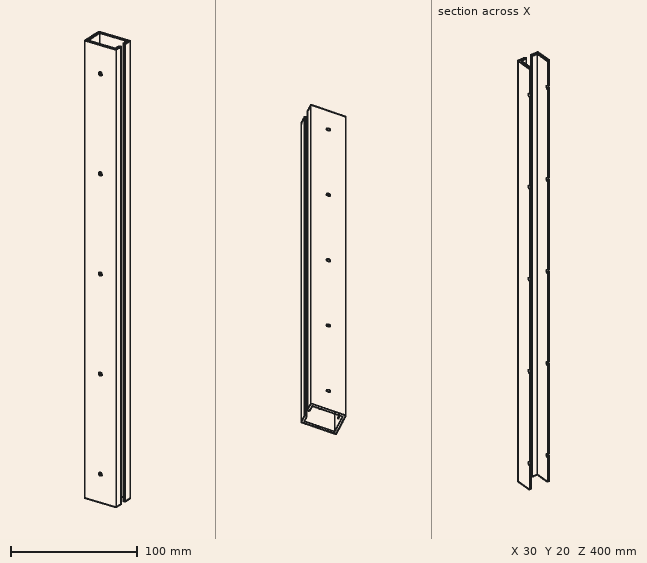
import cadquery as cq

width = 30.0
depth = 20.0
length = 400.0
wall = 2.0

slot_mouth = 6.0
slot_chamfer = wall / 4
slot_throat = slot_mouth - 2 * slot_chamfer

hole_diameter = 3.0
side_hole_count = 5
side_hole_end_distance = length / 16
back_hole_end_distance = 10.0


def tube():
    """Rectangular tube, open at both ends."""
    return (
        cq.Workplane("XY")
        .rect(width, depth)
        .rect(width - 2 * wall, depth - 2 * wall)
        .extrude(length)
    )


def slot():
    """Cutter for the slot: narrow in the middle of the wall, wider at both faces."""
    outer_x = width / 2
    inner_x = outer_x - wall
    half_mouth = slot_mouth / 2
    half_throat = slot_throat / 2
    return (
        cq.Workplane("XY")
        .moveTo(inner_x, -half_mouth)
        .lineTo(inner_x + slot_chamfer, -half_throat)
        .lineTo(outer_x - slot_chamfer, -half_throat)
        .lineTo(outer_x, -half_mouth)
        .lineTo(outer_x, half_mouth)
        .lineTo(outer_x - slot_chamfer, half_throat)
        .lineTo(inner_x + slot_chamfer, half_throat)
        .lineTo(inner_x, half_mouth)
        .close()
        .extrude(length)
    )


def side_holes():
    """Evenly spaced cylinders along Y that pass through both broad walls."""
    spacing = (length - 2 * side_hole_end_distance) / (side_hole_count - 1)
    heights = [side_hole_end_distance + i * spacing for i in range(side_hole_count)]
    return (
        cq.Workplane("XZ")
        .pushPoints([(0, z) for z in heights])
        .circle(hole_diameter / 2)
        .extrude(depth, both=True)
    )


def back_holes():
    """One cylinder along X near each end, through the -X wall only."""
    heights = [back_hole_end_distance, length - back_hole_end_distance]
    return (
        cq.Workplane("YZ", origin=(-width / 2, 0, 0))
        .pushPoints([(0, z) for z in heights])
        .circle(hole_diameter / 2)
        .extrude(2 * wall)
    )


result = tube().cut(slot()).cut(side_holes()).cut(back_holes())